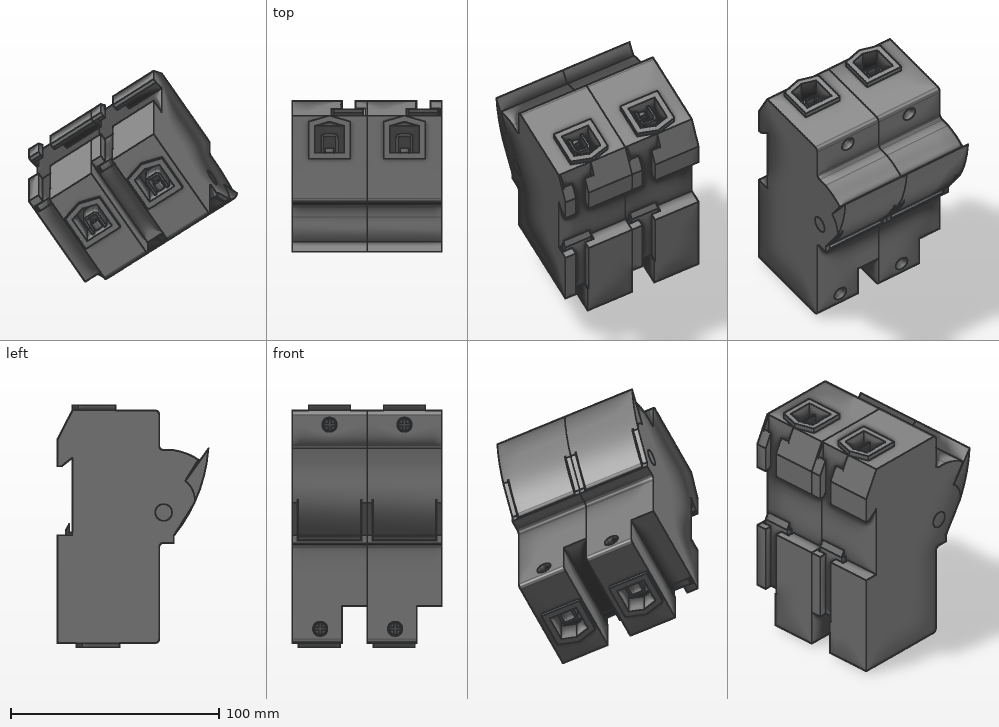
import cadquery as cq
import math


MODULE_COUNT = 2
MODULE_W = 36.0

BODY_H = 111.8
FRONT = 48.9
EDGE_R = 2.0
BACK_CHAMFER_H = 13.9
RAIL_FACE = 7.1
RAIL_FLOOR = 51.8
HOOK_TIP = 84.9
HOOK_ROOT = 89.0
HOOK_TIP_W = 2.0
LEDGE_TOP = 92.9
LEDGE_BOTTOM = 48.1
CHEEK_FRONT = 55.9
CHEEK_LOW = 51.7

PIVOT = (51.0, 62.8)
PIVOT_D = 8.0
DOME_R = 30.4
DOME_END = 67.8
FLAP_ROOT = (61.4, 77.9)
FLAP_TIP = (72.6, 93.5)
FLAP_BOTTOM = 67.6
SEAT_R = 11.0
SEAT_CENTRE_Z = 69.1
LEVER_FACE_R = 74.8
LEVER_FACE_CENTRE_Z = 98.9
LEVER_FACE_END = 52.3
HUB_R = 13.2
HUB_GAP = 0.5
CHEEK_T = 2.6

LEG_W = 24.0
NOTCH_H = 17.8

COLLAR_W = 20.0
COLLAR_LEN = 20.9
COLLAR_GABLE = 2.9
TOP_COLLAR_H = 2.6
BOTTOM_COLLAR_H = 2.1
TOP_COLLAR_APEX = RAIL_FACE
BOTTOM_COLLAR_SHIFT = 1.9
BOTTOM_COLLAR_APEX = TOP_COLLAR_APEX + BOTTOM_COLLAR_SHIFT
COLLAR_WALL = 2.9
POCKET_GABLE = 2.1
GABLE_POCKET_DEPTH = 11.6
POCKET_DEPTH = 17.5
CLAMP_W = 8.2
CLAMP_LEN = 9.1
CLAMP_WALL = 1.2
CLAMP_R = 1.9
CLAMP_DROP = 4.9
TOP_TERMINAL_X = MODULE_W / 2
BOTTOM_TERMINAL_X = 13.0

TOP_SCREW_Z = 105.0
BOTTOM_SCREW_X = 13.5
BOTTOM_SCREW_Z = 6.9
SCREW_HOLE_D = 7.0
SCREW_HEAD_D = 5.9
SCREW_SHANK_D = 4.0
SCREW_SEAT = 38.5
SCREW_HEAD_T = 3.5
SCREW_TIP = 22.8
CROSS_SLOT_W = 1.4
CROSS_SLOT_DEPTH = 1.2

SLOT_X = 18.8
SLOT_W = 16.3
SLOT_MOUTH_X = 23.5
SLOT_MOUTH_W = 6.9
SLOT_BACK = 3.7
CLIP_X = 20.0
CLIP_W = 14.1
CLIP_BACK = 4.0
CLIP_NOSE = 5.7
CLIP_SHOULDER = 53.4
CLIP_NOSE_LOW = 54.2
CLIP_TIP = 57.4


def at(depth, height):
    """Point in the YZ plane."""
    return (-depth, height)


def box(x, width, depths, heights):
    """Box from a left side, a width, and ranges of depth and height."""
    size = (width, depths[1] - depths[0], heights[1] - heights[0])
    return cq.Workplane("XY").box(*size, centered=False).translate((x, -depths[1], heights[0]))


def rod(x, z, diameter, back, front):
    """Cylinder along Y between two depths."""
    circle = cq.Workplane("XZ", origin=(x, -back, z)).circle(diameter / 2)
    return circle.extrude(front - back)


def dome_height(depth):
    return PIVOT[1] + math.sqrt(DOME_R**2 - (depth - PIVOT[0]) ** 2)


def seat_depth(z):
    return SEAT_CENTRE_DEPTH + math.sqrt(SEAT_R**2 - (z - SEAT_CENTRE_Z) ** 2)


def lever_face_depth(z):
    return LEVER_FACE_CENTRE_DEPTH + math.sqrt(LEVER_FACE_R**2 - (z - LEVER_FACE_CENTRE_Z) ** 2)


SEAT_CENTRE_DEPTH = FLAP_ROOT[0] - math.sqrt(SEAT_R**2 - (FLAP_ROOT[1] - SEAT_CENTRE_Z) ** 2)
LEVER_FACE_CENTRE_DEPTH = FLAP_TIP[0] - math.sqrt(
    LEVER_FACE_R**2 - (FLAP_TIP[1] - LEVER_FACE_CENTRE_Z) ** 2
)
DOME_START = PIVOT[0] + math.sqrt(DOME_R**2 - (LEDGE_TOP - PIVOT[1]) ** 2)
SEAT_MID_Z = (FLAP_ROOT[1] + FLAP_BOTTOM) / 2
SEAT_MID = at(seat_depth(SEAT_MID_Z), SEAT_MID_Z)
FLAP_CORNER = at(lever_face_depth(FLAP_BOTTOM), FLAP_BOTTOM)


def housing_block():
    dome_mid = (DOME_START + DOME_END) / 2
    block = (
        cq.Workplane("YZ")
        .moveTo(*at(0, 0))
        .lineTo(*at(0, RAIL_FLOOR))
        .lineTo(*at(RAIL_FACE, RAIL_FLOOR))
        .lineTo(*at(RAIL_FACE, HOOK_ROOT))
        .lineTo(*at(HOOK_TIP_W, HOOK_TIP))
        .lineTo(*at(0, HOOK_TIP))
        .lineTo(*at(0, BODY_H - BACK_CHAMFER_H))
        .lineTo(*at(RAIL_FACE, BODY_H))
        .lineTo(*at(FRONT, BODY_H))
        .lineTo(*at(FRONT, LEDGE_TOP))
        .lineTo(*at(DOME_START, LEDGE_TOP))
        .threePointArc(at(dome_mid, dome_height(dome_mid)), at(DOME_END, dome_height(DOME_END)))
        .lineTo(*at(*FLAP_ROOT))
        .threePointArc(SEAT_MID, FLAP_CORNER)
        .lineTo(*at(CHEEK_FRONT, CHEEK_LOW))
        .lineTo(*at(CHEEK_FRONT, LEDGE_BOTTOM))
        .lineTo(*at(FRONT, LEDGE_BOTTOM))
        .lineTo(*at(FRONT, 0))
        .close()
        .extrude(MODULE_W)
    )
    for z in (0, LEDGE_BOTTOM, LEDGE_TOP, BODY_H):
        corner = cq.selectors.NearestToPointSelector((MODULE_W / 2, -FRONT, z))
        block = block.edges(corner).fillet(EDGE_R)
    return block


def lever_seat():
    """Room for the lever between the cheeks, and the pivot bore through both cheeks."""
    radius = HUB_R + HUB_GAP
    width = MODULE_W - 2 * CHEEK_T
    between_cheeks = cq.Workplane("YZ", origin=(CHEEK_T, 0, 0))
    hub_room = between_cheeks.center(*at(*PIVOT)).circle(radius).extrude(width)
    mouth = between_cheeks.polyline([
        at(PIVOT[0], PIVOT[1] - radius),
        at(FLAP_TIP[0], PIVOT[1] - radius),
        at(FLAP_TIP[0], FLAP_ROOT[1]),
        at(*FLAP_ROOT),
        at(PIVOT[0], PIVOT[1] + radius),
    ]).close().extrude(width)
    return hub_room.union(mouth).union(pivot_pin())


def gabled(x, half_width, apex, shoulder, front, heights):
    """Five-sided prism with its gable toward the back."""
    outline = [
        (x - half_width, -front),
        (x + half_width, -front),
        (x + half_width, -shoulder),
        (x, -apex),
        (x - half_width, -shoulder),
    ]
    prism = cq.Workplane("XY").polyline(outline).close().extrude(heights[1] - heights[0])
    return prism.translate((0, 0, heights[0]))


def add_terminal(body, x, apex, face_z, inward, collar_h):
    """Collar, pocket and clamp at one end; inward is the Z direction into the housing."""

    def span(start, end):
        return sorted((face_z + inward * start, face_z + inward * end))

    front = apex + COLLAR_LEN
    pocket_front = front - COLLAR_WALL
    pocket_apex = apex + COLLAR_WALL
    pocket_shoulder = pocket_apex + POCKET_GABLE
    pocket_half = COLLAR_W / 2 - COLLAR_WALL
    collar = gabled(x, COLLAR_W / 2, apex, apex + COLLAR_GABLE, front, span(0, collar_h))
    pocket = gabled(
        x, pocket_half, pocket_apex, pocket_shoulder, pocket_front, span(0, GABLE_POCKET_DEPTH)
    )
    lower_pocket = box(
        x - pocket_half, 2 * pocket_half, (pocket_shoulder, pocket_front), span(0, POCKET_DEPTH)
    )

    clamp_back = pocket_front - CLAMP_LEN
    clamp_span = span(CLAMP_DROP, POCKET_DEPTH)
    clamp = box(x - CLAMP_W / 2, CLAMP_W, (clamp_back, pocket_front), clamp_span)
    clamp = clamp.edges("|Z and >Y").fillet(CLAMP_R)
    opening = box(
        x - CLAMP_W / 2 + CLAMP_WALL,
        CLAMP_W - 2 * CLAMP_WALL,
        (clamp_back + CLAMP_WALL, pocket_front),
        clamp_span,
    )
    opening = opening.edges("|Z and >Y").fillet(CLAMP_R - CLAMP_WALL)
    return body.union(collar).cut(pocket).cut(lower_pocket).union(clamp.cut(opening))


def screw_hole(x, z):
    shank = rod(x, z, SCREW_SHANK_D, SCREW_TIP, SCREW_SEAT)
    return shank.union(rod(x, z, SCREW_HOLE_D, SCREW_SEAT, FRONT))


def clip_slot():
    """T-slot in the back, open from the notch up through the hook."""
    heights = (NOTCH_H, BODY_H)
    wide = box(SLOT_X, SLOT_W, (SLOT_BACK, RAIL_FACE), heights)
    return wide.union(box(SLOT_MOUTH_X, SLOT_MOUTH_W, (0, SLOT_BACK), heights))


def make_housing():
    body = housing_block().cut(lever_seat())
    body = body.cut(box(LEG_W, MODULE_W - LEG_W, (0, FRONT), (0, NOTCH_H)))
    body = body.cut(clip_slot())
    body = add_terminal(
        body, TOP_TERMINAL_X, TOP_COLLAR_APEX, BODY_H + TOP_COLLAR_H, -1, TOP_COLLAR_H
    )
    body = add_terminal(
        body, BOTTOM_TERMINAL_X, BOTTOM_COLLAR_APEX, -BOTTOM_COLLAR_H, 1, BOTTOM_COLLAR_H
    )
    body = body.cut(screw_hole(TOP_TERMINAL_X, TOP_SCREW_Z))
    return body.cut(screw_hole(BOTTOM_SCREW_X, BOTTOM_SCREW_Z))


def pivot_pin():
    return cq.Workplane("YZ").center(*at(*PIVOT)).circle(PIVOT_D / 2).extrude(MODULE_W)


def make_lever():
    """Full-width flap, narrower hub between the cheeks, and pivot ends flush with the sides."""
    flap_mid_z = (FLAP_BOTTOM + FLAP_TIP[1]) / 2
    flap = (
        cq.Workplane("YZ")
        .moveTo(*at(*FLAP_TIP))
        .lineTo(*at(*FLAP_ROOT))
        .threePointArc(SEAT_MID, FLAP_CORNER)
        .threePointArc(at(lever_face_depth(flap_mid_z), flap_mid_z), at(*FLAP_TIP))
        .close()
        .extrude(MODULE_W)
    )
    side = CHEEK_T + HUB_GAP
    face_mid_z = (LEVER_FACE_END + FLAP_TIP[1]) / 2
    hub = (
        cq.Workplane("YZ", origin=(side, 0, 0))
        .moveTo(*at(*FLAP_TIP))
        .threePointArc(
            at(lever_face_depth(face_mid_z), face_mid_z),
            at(lever_face_depth(LEVER_FACE_END), LEVER_FACE_END),
        )
        .tangentArcPoint(at(PIVOT[0], PIVOT[1] - HUB_R), relative=False)
        .threePointArc(at(PIVOT[0] - HUB_R, PIVOT[1]), at(PIVOT[0], PIVOT[1] + HUB_R))
        .lineTo(*at(*FLAP_ROOT))
        .close()
        .extrude(MODULE_W - 2 * side)
    )
    return flap.union(hub).union(pivot_pin())


def make_screw(x, z):
    head_front = SCREW_SEAT + SCREW_HEAD_T
    screw = rod(x, z, SCREW_SHANK_D, SCREW_TIP, SCREW_SEAT)
    screw = screw.union(rod(x, z, SCREW_HEAD_D, SCREW_SEAT, head_front))
    slot_depths = (head_front - CROSS_SLOT_DEPTH, head_front)
    for width, height in ((SCREW_HEAD_D, CROSS_SLOT_W), (CROSS_SLOT_W, SCREW_HEAD_D)):
        heights = (z - height / 2, z + height / 2)
        screw = screw.cut(box(x - width / 2, width, slot_depths, heights))
    return screw


def make_clip():
    outline = [
        at(CLIP_BACK, NOTCH_H),
        at(CLIP_BACK, CLIP_NOSE_LOW),
        at(CLIP_NOSE, CLIP_TIP),
        at(CLIP_NOSE, CLIP_SHOULDER),
        at(RAIL_FACE, CLIP_SHOULDER),
        at(RAIL_FACE, NOTCH_H),
    ]
    return cq.Workplane("YZ", origin=(CLIP_X, 0, 0)).polyline(outline).close().extrude(CLIP_W)


module_bodies = [
    make_housing(),
    make_lever(),
    make_screw(TOP_TERMINAL_X, TOP_SCREW_Z),
    make_screw(BOTTOM_SCREW_X, BOTTOM_SCREW_Z),
    make_clip(),
]
bodies = []
for index in range(MODULE_COUNT):
    left_side = (index - MODULE_COUNT / 2) * MODULE_W
    for body in module_bodies:
        bodies.append(body.translate((left_side, 0, 0)).val())
result = cq.Compound.makeCompound(bodies)